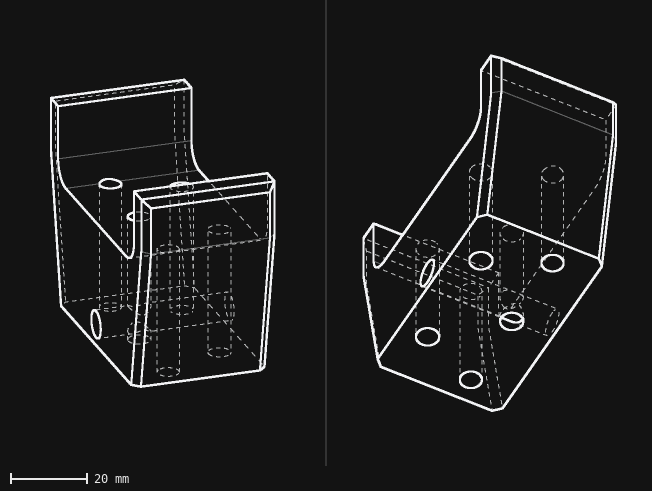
import cadquery as cq

width = 76.0
depth = 37.0
height = 56.0

base_width = 60.0
shoulder_height = 41.0

channel_width = 60.3
floor_height = 35.0
channel_fillet = 6.0

edge_chamfer = 2.0

main_hole_diameter = 6.1
outer_hole_diameter = 5.8
rear_row_y = 10.5
front_row_y = -6.5
rear_hole_x = 15.0
outer_hole_x = 23.0

cross_hole_diameter = 7.5
cross_hole_height = 6.0


def make_body():
    """Extrude the tapered outline and bevel the edges of its outer sides."""
    outline = [
        (-base_width / 2, 0),
        (base_width / 2, 0),
        (width / 2, shoulder_height),
        (width / 2, height),
        (-width / 2, height),
        (-width / 2, shoulder_height),
    ]
    body = cq.Workplane("XZ").polyline(outline).close().extrude(depth / 2, both=True)

    side_edges = body.faces("<Y or >Y").edges("not #Z")
    top_edges = body.faces(">Z").edges("|Y")
    return side_edges.add(top_edges).chamfer(edge_chamfer)


def make_channel():
    """Channel along Y with rounded lower corners, open at the top."""
    channel_height = height - floor_height
    channel = cq.Workplane("XY").workplane(offset=floor_height).box(
        channel_width, depth, channel_height, centered=(True, True, False)
    )
    return channel.edges("|Y and <Z").fillet(channel_fillet)


def make_vertical_holes(positions, diameter):
    """Cutters for holes running from the base up through the floor and fillets."""
    return cq.Workplane("XY").pushPoints(positions).circle(diameter / 2).extrude(height)


def make_cross_hole():
    """Cutter for the hole through the base from front to back."""
    return (
        cq.Workplane("XZ")
        .center(0, cross_hole_height)
        .circle(cross_hole_diameter / 2)
        .extrude(depth / 2, both=True)
    )


main_holes = [(-rear_hole_x, rear_row_y), (rear_hole_x, rear_row_y), (0, front_row_y)]
outer_holes = [(-outer_hole_x, front_row_y), (outer_hole_x, front_row_y)]

result = (
    make_body()
    .cut(make_channel())
    .cut(make_vertical_holes(main_holes, main_hole_diameter))
    .cut(make_vertical_holes(outer_holes, outer_hole_diameter))
    .cut(make_cross_hole())
)